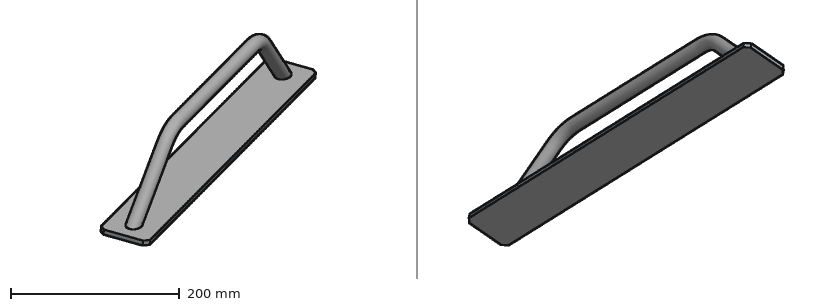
import cadquery as cq
import math

PLATE_WIDTH = 63.5
PLATE_LENGTH = 508.0
PLATE_THICKNESS = 6.75
CORNER_CHAMFER = 6.35
TILT_ANGLE = 12.5

BAR_DIAMETER = 19.05
BAR_HEIGHT = 88.9
FOOT_SPACING = 444.5
LEG_ANGLE = 45.0
BEND_RADIUS = 50.8


def make_plate():
    """Flat plate with its top face on Z = 0 and its four corners cut off."""
    plate = cq.Workplane("XY").box(
        PLATE_WIDTH, PLATE_LENGTH, PLATE_THICKNESS, centered=(True, True, False)
    )
    plate = plate.translate((0, 0, -PLATE_THICKNESS))
    return plate.edges("|Z").chamfer(CORNER_CHAMFER)


def make_handle():
    """Bar swept along leg, bend, grip, bend and leg, trimmed flush with Z = 0."""
    leg = math.radians(LEG_ANGLE)
    foot_y = FOOT_SPACING / 2
    corner_y = foot_y - BAR_HEIGHT / math.tan(leg)
    tangent_length = BEND_RADIUS * math.tan(leg / 2)

    grip_end_y = corner_y - tangent_length
    leg_top_y = corner_y + tangent_length * math.cos(leg)
    leg_top_z = BAR_HEIGHT - tangent_length * math.sin(leg)
    bend_mid_y = grip_end_y + BEND_RADIUS * math.sin(leg / 2)
    bend_mid_z = BAR_HEIGHT - BEND_RADIUS * (1 - math.cos(leg / 2))

    overrun = BAR_DIAMETER
    start_y = foot_y + overrun / math.tan(leg)

    path = (
        cq.Workplane("YZ")
        .moveTo(-start_y, -overrun)
        .lineTo(-leg_top_y, leg_top_z)
        .threePointArc((-bend_mid_y, bend_mid_z), (-grip_end_y, BAR_HEIGHT))
        .lineTo(grip_end_y, BAR_HEIGHT)
        .threePointArc((bend_mid_y, bend_mid_z), (leg_top_y, leg_top_z))
        .lineTo(start_y, -overrun)
    )
    start_plane = cq.Plane(
        origin=(0, -start_y, -overrun),
        xDir=(1, 0, 0),
        normal=(0, math.cos(leg), math.sin(leg)),
    )
    bar = cq.Workplane(start_plane).circle(BAR_DIAMETER / 2).sweep(path)

    space_above_plate = cq.Workplane("XY").box(
        PLATE_WIDTH, PLATE_LENGTH, BAR_HEIGHT + BAR_DIAMETER, centered=(True, True, False)
    )
    return bar.intersect(space_above_plate)


level_part = make_plate().union(make_handle())
result = level_part.rotate((0, 0, 0), (1, 0, 0), -TILT_ANGLE)